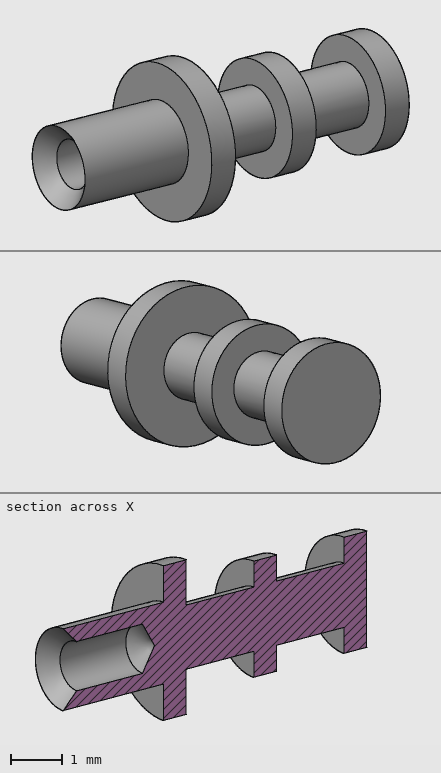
import cadquery as cq
import math

total_length = 7.66
collar_thickness = 0.58
neck_length = 1.69
tail_length = total_length - 3 * collar_thickness - 2 * neck_length

flange_diameter = 3.18
disc_diameter = 2.39
neck_diameter = 1.325
tail_diameter = 1.685

bore_diameter = 1.0
bore_depth = 2.0
flare_depth = (tail_diameter - bore_diameter) / 2
drill_point_angle = 118.0


def y_cylinder(diameter, start, length):
    """Solid cylinder on the Y axis, growing towards +Y from start."""
    return cq.Workplane(cq.Solid.makeCylinder(
        diameter / 2, length, cq.Vector(0, start, 0), cq.Vector(0, 1, 0)))


def turned_body():
    """Tail, flange, and two necks each ending in a disc."""
    sections = [
        (tail_diameter, tail_length),
        (flange_diameter, collar_thickness),
        (neck_diameter, neck_length),
        (disc_diameter, collar_thickness),
        (neck_diameter, neck_length),
        (disc_diameter, collar_thickness),
    ]
    start = -total_length / 2
    body = cq.Workplane()
    for diameter, length in sections:
        body = body.add(y_cylinder(diameter, start, length))
        start += length
    return body.combine()


def tail_hole():
    """Flared bore with a conical bottom, revolved about Y."""
    bore_radius = bore_diameter / 2
    mouth = -total_length / 2
    bore_end = mouth + bore_depth
    point_height = bore_radius / math.tan(math.radians(drill_point_angle / 2))
    return (
        cq.Workplane("XY")
        .moveTo(0, mouth)
        .lineTo(tail_diameter / 2, mouth)
        .lineTo(bore_radius, mouth + flare_depth)
        .lineTo(bore_radius, bore_end)
        .lineTo(0, bore_end + point_height)
        .close()
        .revolve(360, (0, 0, 0), (0, 1, 0))
    )


result = turned_body().cut(tail_hole())